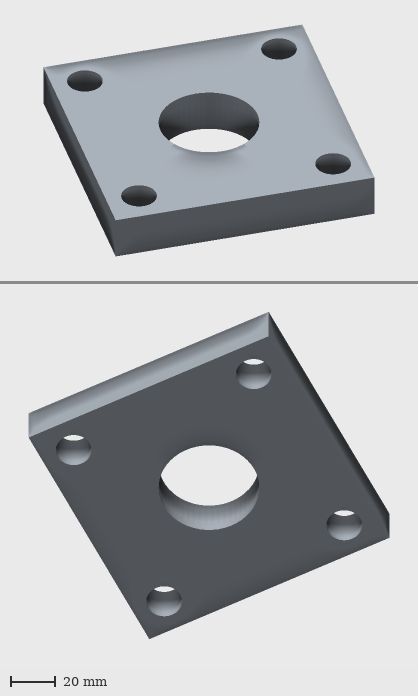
import cadquery as cq

plate_side = 120.0
plate_thickness = 20.0

bore_diameter = 45.0
bolt_hole_diameter = 16.0
bolt_spacing = 90.0

plate = cq.Workplane("XY").box(plate_side, plate_side, plate_thickness)

bored_plate = plate.faces(">Z").workplane().hole(bore_diameter)

result = (
    bored_plate.faces(">Z")
    .workplane(origin=(0, 0, 0))
    .rarray(bolt_spacing, bolt_spacing, 2, 2)
    .hole(bolt_hole_diameter)
)